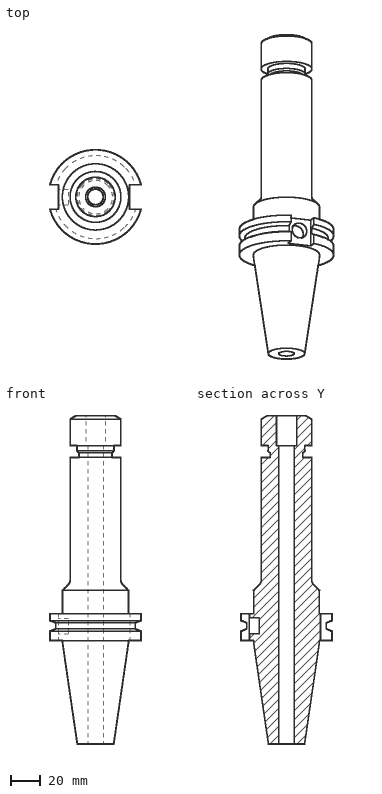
import cadquery as cq
import math

total_height = 220.6
gauge_z = 68.5
flange_bottom_z = 69.5
flange_top_z = 87.5
groove_center_z = 79.5
collar_top_z = 103.3
shaft_top_z = 192.6
nut_bottom_z = 200.5

gauge_radius = 22.3
taper_per_length = 7 / 24
flange_radius = 31.8
groove_radius = 28.0
collar_radius = 44.5 / 2
shaft_radius = 34.2 / 2
neck_radius = 11.3
neck_collar_radius = 12.5
nut_radius = shaft_radius
nut_face_radius = 13.2

groove_floor_width = 4.0
groove_mouth_width = 7.0

shaft_fillet = 4.5
nut_chamfer_height = 2.2
neck_collar_height = 3.5
neck_chamfer = neck_collar_radius - neck_radius

bore_radius = 10.4 / 2
nut_bore_radius = 6.6

slot_width = 16.3
slot_floor_left = 25.0
slot_floor_right = 23.0
slot_hole_diameter = 10.4
slot_hole_depth = 6.6


def make_body():
    """Revolve the half outline of the holder, from the taper up to the nut."""
    small_end_radius = gauge_radius - gauge_z * taper_per_length / 2

    shoulder_angle = math.radians(45)
    half_angle = shoulder_angle / 2
    fillet_foot_radius = shaft_radius + shaft_fillet * (1 - math.cos(shoulder_angle))
    fillet_mid_radius = shaft_radius + shaft_fillet * (1 - math.cos(half_angle))
    fillet_foot_z = collar_top_z + collar_radius - fillet_foot_radius
    fillet_top_z = fillet_foot_z + shaft_fillet * math.sin(shoulder_angle)
    fillet_mid_z = fillet_top_z - shaft_fillet * math.sin(half_angle)

    neck_collar_z = nut_bottom_z - neck_collar_height
    outline = (
        cq.Workplane("XZ")
        .lineTo(small_end_radius, 0)
        .lineTo(gauge_radius, gauge_z)
        .lineTo(gauge_radius, flange_bottom_z)
        .lineTo(flange_radius, flange_bottom_z)
        .lineTo(flange_radius, groove_center_z - groove_mouth_width / 2)
        .lineTo(groove_radius, groove_center_z - groove_floor_width / 2)
        .lineTo(groove_radius, groove_center_z + groove_floor_width / 2)
        .lineTo(flange_radius, groove_center_z + groove_mouth_width / 2)
        .lineTo(flange_radius, flange_top_z)
        .lineTo(collar_radius, flange_top_z)
        .lineTo(collar_radius, collar_top_z)
        .lineTo(fillet_foot_radius, fillet_foot_z)
        .threePointArc((fillet_mid_radius, fillet_mid_z), (shaft_radius, fillet_top_z))
        .lineTo(shaft_radius, shaft_top_z)
        .lineTo(neck_radius, shaft_top_z)
        .lineTo(neck_radius, neck_collar_z - neck_chamfer)
        .lineTo(neck_collar_radius, neck_collar_z)
        .lineTo(neck_collar_radius, nut_bottom_z)
        .lineTo(nut_radius, nut_bottom_z)
        .lineTo(nut_radius, total_height - nut_chamfer_height)
        .lineTo(nut_face_radius, total_height)
        .lineTo(0, total_height)
        .close()
    )
    return outline.revolve(360, (0, 0), (0, 1))


def make_bore():
    through = cq.Workplane("XY").circle(bore_radius).extrude(total_height)
    nut_bore = (
        cq.Workplane("XY", origin=(0, 0, nut_bottom_z))
        .circle(nut_bore_radius)
        .extrude(total_height - nut_bottom_z)
    )
    return through.union(nut_bore)


def make_slot(side, floor):
    """Drive slot across the flange; side is -1 for -X and +1 for +X."""
    height = flange_top_z - flange_bottom_z
    return cq.Workplane("XY").box(flange_radius, slot_width, height).translate(
        (side * (floor + flange_radius / 2), 0, flange_bottom_z + height / 2)
    )


def make_slot_hole():
    return (
        cq.Workplane("YZ", origin=(-slot_floor_left, 0, groove_center_z))
        .circle(slot_hole_diameter / 2)
        .extrude(slot_hole_depth)
    )


result = (
    make_body()
    .cut(make_bore())
    .cut(make_slot(-1, slot_floor_left))
    .cut(make_slot(1, slot_floor_right))
    .cut(make_slot_hole())
)